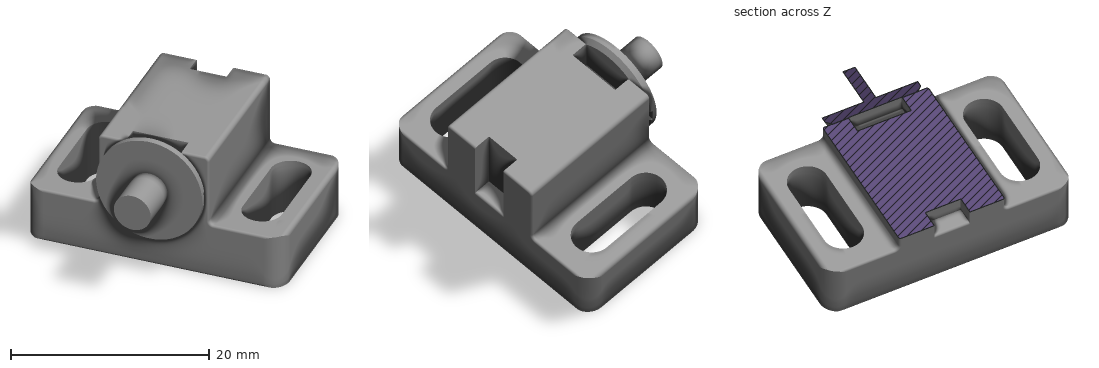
import cadquery as cq

base_width = 28.0
housing_depth = 17.0
base_height = 6.02
block_width = 12.0
housing_height = 14.0
profile_radius = 0.5
end_radius = 0.25
corner_radius = 2.0

slot_width = 4.25
slot_length = 12.0
slot_offset = 10.0

front_notch_width = 6.05
rear_notch_width = 4.0
notch_depth = 2.0

insert_setback = 1.3
insert_thickness = 0.75

head_diameter = 11.5
head_thickness = 1.2
head_chamfer = 0.5
shank_diameter = 4.0
shank_length = 4.62
screw_height = 15.25 - head_diameter / 2
driver_slot_width = 1.48
driver_slot_depth = 0.7


def box(width, y_start, y_end, z_start, z_end):
    """Box centred on X between the given Y and Z limits."""
    start_plane = cq.Workplane("XY", origin=(0, y_start, z_start))
    return start_plane.box(width, y_end - y_start, z_end - z_start, centered=(True, False, False))


def make_housing_body():
    """Base and block with all their edges rounded."""
    base = box(base_width, 0, housing_depth, 0, base_height)
    block = box(block_width, 0, housing_depth, 0, housing_height)
    body = base.union(block)
    body = body.edges("|Y").edges("not <Z").fillet(profile_radius)
    body = body.faces("<Y or >Y").edges().fillet(end_radius)
    rounded_plan = box(base_width, 0, housing_depth, 0, housing_height).edges("|Z").fillet(corner_radius)
    return body.intersect(rounded_plan)


def make_notches():
    """Both notches, bounded below by the base's flat top and its rounded front and rear edges."""
    floor_limit = base_height - end_radius
    front = box(front_notch_width, 0, notch_depth, floor_limit, housing_height)
    rear = box(rear_notch_width, housing_depth - notch_depth, housing_depth, floor_limit, housing_height)
    floor = box(base_width, 0, housing_depth, 0, base_height).edges("|X and >Z").fillet(end_radius)
    return front.union(rear).cut(floor)


def make_mounting_slots():
    return (
        cq.Workplane("XY")
        .pushPoints([(-slot_offset, housing_depth / 2), (slot_offset, housing_depth / 2)])
        .slot2D(slot_length, slot_width, 90)
        .extrude(base_height)
    )


def make_insert():
    """Flat bar as wide as each notch at its ends, stepping at mid-depth."""
    bottom = base_height - insert_thickness
    middle = housing_depth / 2
    front = box(front_notch_width, insert_setback, middle, bottom, base_height)
    rear = box(rear_notch_width, middle, housing_depth - insert_setback, bottom, base_height)
    return front.union(rear)


def make_screw():
    """Screw pointing toward -Y, with a driver slot across the back of its head."""
    axis_start = cq.Workplane("XZ").center(0, screw_height)
    head = axis_start.circle(head_diameter / 2).extrude(head_thickness)
    head = head.faces(">Y").edges().chamfer(head_chamfer)
    shank = axis_start.circle(shank_diameter / 2).extrude(head_thickness + shank_length)
    driver_slot = box(
        head_diameter,
        -driver_slot_depth,
        0,
        screw_height - driver_slot_width / 2,
        screw_height + driver_slot_width / 2,
    )
    return head.union(shank).cut(driver_slot)


insert = make_insert()
housing = make_housing_body().cut(make_notches()).cut(make_mounting_slots()).cut(insert)
screw = make_screw()

result = cq.Compound.makeCompound([housing.val(), insert.val(), screw.val()])